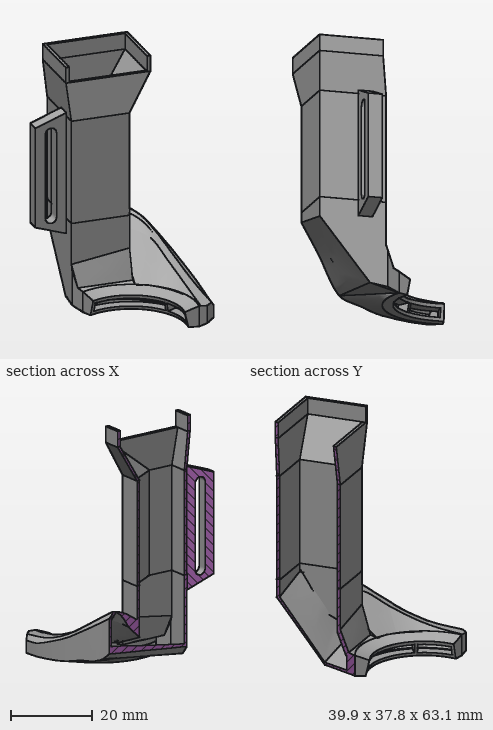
import cadquery as cq
import math

WALL = 0.9

ELBOW_TOP_Z = 22.2
TUBE_TOP_Z = 49.2
TAPER_TOP_Z = 59.0
TOTAL_HEIGHT = 63.1

COLLAR_RECT = (0.0, -1.0, 16.3, 21.0)
TUBE_RECT = (0.4, 0.0, 17.35, 15.15)

BAFFLE_X = 12.7
BAFFLE_Y = 7.65

BRACKET_X = 10.2
BRACKET_WIDTH = 3.6
BRACKET_REACH = 8.1
BRACKET_ROOT_Z = (18.25, 50.1)
BRACKET_TIP_Z = (20.9, 47.15)
SLOT_Y = -4.0
SLOT_WIDTH = 2.85
SLOT_Z = (21.45, 46.55)

NOZZLE_X = 36.65
NOZZLE_Y = 8.3
NOZZLE_INNER_R = 13.3
NOZZLE_BOTTOM_R = 14.25
NOZZLE_OUTER_R = 16.9
NOZZLE_START = 203.5
NOZZLE_END = 80.0
NOZZLE_INNER_HEIGHT = 4.1
NOZZLE_OUTER_HEIGHT = 5.4
OUTLET_TOP_Z = 3.15
VANE_ANGLE = 121.0
VANE_SPAN = 3.0

FLOOR_FRONT_Z = 17.3
FLOOR_BACK_Z = 19.75
FLOOR_RISE = 0.4
HEEL_X = 13.2
HEEL_FRONT_Z = 1.5
TOE_X = 17.8
TOE_Z = 0.8
TOE_TOP_Z = 10.0
FRONT_CORNER_Z = 11.4
BACK_CORNER_Z = 13.55
STEP_X = 19.55
STEP_Z = 5.9
TIP_R = 18.9
TIP_BOTTOM_Z = 0.75

FLANK_TOP = [
    (7.95, 21.4, 17.85), (13.0, 24.4, 14.3), (18.85, 26.9, 10.6),
    (23.15, 28.3, 8.2), (27.95, 29.15, 6.3), (33.45, 29.65, 4.55), (37.4, 29.6, 4.15),
]
FLANK_BOTTOM_Z = [11.35, 4.8, 3.4, 2.35, 1.65, 1.15, 0.95]
FLANK_START_Z = 20.8
HEEL_INDEX = 1
RIDGE = [(9.7, 21.4, 18.05), (17.85, 24.8, 12.7), (23.15, 26.6, 9.2), (31.7, 28.3, 6.1)]
RIDGE_END_Z = 5.4
RIDGE_END_SHARE = 0.35
RIDGE_START_X = 1.9
CREST = [(15.15, 21.4, 14.5), (20.95, 23.6, 10.7), (26.8, 24.9, 7.9), (33.2, 25.5, 6.1)]
CREST_START_X = 8.2
CREST_START_Z = 16.4
CREST_DROP = 7
CREST_END_R = 17.3
CREST_MID_SHARE = 0.26


def inset(rect, wall):
    """Shrink a rectangle by the same wall on all sides."""
    x0, y0, x1, y1 = rect
    return x0 + wall, y0 + wall, x1 - wall, y1 - wall


def box(rect, z0, z1):
    x0, y0, x1, y1 = rect
    return cq.Workplane("XY").box(x1 - x0, y1 - y0, z1 - z0, centered=False).translate((x0, y0, z0))


def polar(radius, degrees, z):
    """Point on a circle about the nozzle axis."""
    angle = math.radians(degrees)
    return NOZZLE_X + radius * math.cos(angle), NOZZLE_Y + radius * math.sin(angle), z


def make_collar():
    """Three-sided rim, open towards +X."""
    x0, y0, x1, y1 = inset(COLLAR_RECT, WALL)
    opening = (x0, y0, COLLAR_RECT[2], y1)
    return box(COLLAR_RECT, TAPER_TOP_Z, TOTAL_HEIGHT).cut(box(opening, TAPER_TOP_Z, TOTAL_HEIGHT))


def taper_block(wall):
    """Block between the tube and collar outlines, both inset by the wall."""
    def wire(rect, z):
        x0, y0, x1, y1 = inset(rect, wall)
        corners = [(x0, y0, z), (x1, y0, z), (x1, y1, z), (x0, y1, z)]
        return cq.Wire.makePolygon([cq.Vector(*p) for p in corners], close=True)

    ends = [wire(TUBE_RECT, TUBE_TOP_Z), wire(COLLAR_RECT, TAPER_TOP_Z)]
    return cq.Workplane(cq.Solid.makeLoft(ends, True))


def baffle_corners():
    """Plan triangle that fills the back right corner of the bore."""
    x1, y1 = inset(TUBE_RECT, WALL)[2:]
    return [(BAFFLE_X, y1), (x1, BAFFLE_Y), (x1, y1)]


def make_taper():
    """Funnel whose back right corner is filled by a pyramid that narrows to the rim."""
    base = [(x, y, TUBE_TOP_Z) for x, y in baffle_corners()]
    apex = (*inset(COLLAR_RECT, WALL)[2:], TAPER_TOP_Z)
    sides = [flat(base[i - 1], base[i], apex) for i in range(len(base))]
    pyramid = cq.Solid.makeSolid(cq.Shell.makeShell([flat(*base)] + sides)).fix()
    return taper_block(0).cut(taper_block(WALL).cut(cq.Workplane(pyramid)))


def make_tube():
    bore = box(inset(TUBE_RECT, WALL), ELBOW_TOP_Z, TUBE_TOP_Z)
    height = TUBE_TOP_Z - ELBOW_TOP_Z
    baffle = cq.Workplane("XY", origin=(0, 0, ELBOW_TOP_Z)).polyline(baffle_corners()).close().extrude(height)
    return box(TUBE_RECT, ELBOW_TOP_Z, TUBE_TOP_Z).cut(bore.cut(baffle))


def make_bracket():
    """Plate on the front of the duct with sloped ends and a long slot."""
    outline = [
        (0, BRACKET_ROOT_Z[0]), (-BRACKET_REACH, BRACKET_TIP_Z[0]),
        (-BRACKET_REACH, BRACKET_TIP_Z[1]), (0, BRACKET_ROOT_Z[1]),
    ]
    plate = cq.Workplane("YZ", origin=(BRACKET_X, 0, 0)).polyline(outline).close().extrude(BRACKET_WIDTH)
    slot = (
        cq.Workplane("YZ", origin=(BRACKET_X, 0, 0))
        .center(SLOT_Y, sum(SLOT_Z) / 2)
        .slot2D(SLOT_Z[1] - SLOT_Z[0], SLOT_WIDTH, 90)
        .extrude(BRACKET_WIDTH)
    )
    return plate.cut(slot)


def turned(profile, start, end):
    """Turn an (r, z) profile about the nozzle axis between two angles."""
    ring = cq.Workplane("XZ").polyline(profile).close().revolve(start - end, (0, 0), (0, -1))
    center = ring.val().Center()
    swept_middle = math.degrees(math.atan2(center.y, center.x))
    placed = ring.rotate((0, 0, 0), (0, 0, 1), (start + end) / 2 - swept_middle)
    return placed.translate((NOZZLE_X, NOZZLE_Y, 0))


def make_nozzle():
    """Ring segment with an outlet slot along its inside, divided by one radial vane."""
    profile = [
        (NOZZLE_BOTTOM_R, 0), (NOZZLE_OUTER_R, 0),
        (NOZZLE_OUTER_R, NOZZLE_OUTER_HEIGHT), (NOZZLE_INNER_R, NOZZLE_INNER_HEIGHT),
    ]
    channel = [
        (NOZZLE_INNER_R, WALL), (NOZZLE_OUTER_R, WALL),
        (NOZZLE_OUTER_R, OUTLET_TOP_Z), (NOZZLE_INNER_R, OUTLET_TOP_Z),
    ]
    margin = math.degrees(WALL / NOZZLE_INNER_R)
    half_vane = VANE_SPAN / 2
    slots = [
        (NOZZLE_START - margin, VANE_ANGLE + half_vane),
        (VANE_ANGLE - half_vane, NOZZLE_END + margin),
    ]
    ring = turned(profile, NOZZLE_START, NOZZLE_END)
    for start, end in slots:
        ring = ring.cut(turned(channel, start, end))
    return ring


def flat(*points):
    wire = cq.Wire.makePolygon([cq.Vector(*p) for p in points], close=True)
    return cq.Face.makeFromWires(wire)


def curve(points, tangents=None):
    return cq.Edge.makeSpline([cq.Vector(*p) for p in points], tangents=tangents)


def stretches(points):
    """Two edges that meet smoothly at the point beside the heel."""
    middle = HEEL_INDEX + 1
    vectors = [cq.Vector(*p) for p in points]
    first = vectors[1] - vectors[0]
    shared = vectors[middle + 1] - vectors[middle - 1]
    last = vectors[-1] - vectors[-2]
    return [
        curve(points[:middle + 1], [first.normalized(), shared.normalized()]),
        curve(points[middle:], [shared.normalized(), last.normalized()]),
    ]


def line(start, end):
    return cq.Edge.makeLine(cq.Vector(*start), cq.Vector(*end))


def arc(radius, start, end, z):
    points = [polar(radius, a, z) for a in (start, (start + end) / 2, end)]
    return cq.Edge.makeThreePointArc(*[cq.Vector(*p) for p in points])


def elbow_block(wall):
    """Solid between the tube and the nozzle, inset by the wall on all closed sides.

    An inset block reaches past the mouth and the nozzle side by the wall, so it cuts both open.
    """
    x0, y0, x1, y1 = inset(TUBE_RECT, wall)
    mouth_z = ELBOW_TOP_Z + wall
    ring_r = NOZZLE_OUTER_R - wall
    margin = math.degrees(wall / NOZZLE_OUTER_R)
    start = NOZZLE_START - margin
    end = NOZZLE_END + margin
    ring_top = NOZZLE_OUTER_HEIGHT - wall
    side = 180 - math.degrees(math.asin((y1 - NOZZLE_Y) / ring_r))

    def inward(point, dz):
        """Move a flank point towards the nozzle axis by the wall and shift its height."""
        x, y, z = point
        reach = math.hypot(x - NOZZLE_X, y - NOZZLE_Y)
        share = 1 - wall / reach
        return NOZZLE_X + (x - NOZZLE_X) * share, NOZZLE_Y + (y - NOZZLE_Y) * share, z + dz

    mouth = [(x0, y0, mouth_z), (x1, y0, mouth_z), (x1, y1, mouth_z), (x0, y1, mouth_z)]
    floor_rise = FLOOR_RISE * wall
    floor_front = (x0, y0, FLOOR_FRONT_Z + floor_rise)
    floor_back = (x0, y1, FLOOR_BACK_Z + floor_rise)
    heel_front = (HEEL_X, y0, HEEL_FRONT_Z + wall)
    toe_x = TOE_X - wall
    toe = (toe_x, y0, TOE_Z + wall)
    toe_top = (toe_x, y0, TOE_TOP_Z - wall)
    front_corner = (x1, y0, FRONT_CORNER_Z - wall)
    back_corner = (x1, y1, BACK_CORNER_Z - wall)

    start_bottom = polar(ring_r, start, wall)
    start_top = polar(ring_r, start, ring_top)
    end_bottom = polar(ring_r, end, wall)
    end_top = polar(ring_r, end, ring_top)
    side_top = polar(ring_r, side, ring_top)
    tip_bottom = polar(TIP_R - wall, end, TIP_BOTTOM_Z + wall)
    tip_top = polar(TIP_R - wall, end, ring_top)
    step_x = STEP_X - wall
    step_share = (step_x - toe_x) / (start_top[0] - toe_x)
    step_front = (step_x, y0 + step_share * (start_top[1] - y0), STEP_Z - wall)
    step_back = (step_x, y1, STEP_Z - wall)

    flank_top = [(x0, y1, FLANK_START_Z - floor_rise)] + [inward(p, -wall) for p in FLANK_TOP]
    flank_low = [inward((x, y, z), wall) for (x, y, _), z in zip(FLANK_TOP, FLANK_BOTTOM_Z)]
    heel_back = flank_low[HEEL_INDEX]
    bevel = [a + RIDGE_END_SHARE * (b - a) for a, b in zip(flank_top[-1], tip_top)]
    ridge_end = (bevel[0], bevel[1], RIDGE_END_Z - wall)
    ridge_start = (RIDGE_START_X, y1, FLANK_START_Z - wall)
    ridge = [ridge_start] + [inward(p, -wall) for p in RIDGE] + [ridge_end]
    crest_start = (CREST_START_X, y1, CREST_START_Z - CREST_DROP * wall)
    crest_end = polar(CREST_END_R, end, ring_top)
    crest = [crest_start] + [(x, y, z - wall) for x, y, z in CREST] + [crest_end]

    heel_edge, low_edge = stretches([floor_back] + flank_low)
    flank_edges = stretches(flank_top)
    ridge_edges = stretches(ridge)
    crest_edges = stretches(crest)
    crest_mid_angle = side + CREST_MID_SHARE * (end - side)
    ring_edges = [arc(ring_r, side, crest_mid_angle, ring_top), arc(ring_r, crest_mid_angle, end, ring_top)]

    ruled = [
        (line(floor_front, heel_front), heel_edge),
        (low_edge, arc(ring_r, start, end, wall)),
        (line(front_corner, back_corner), line(step_front, step_back)),
        (line(step_front, step_back), arc(ring_r, start, side, ring_top)),
    ]
    bands = [[heel_edge, low_edge], flank_edges, ridge_edges, crest_edges, ring_edges]
    for band, next_band in zip(bands, bands[1:]):
        ruled += zip(band, next_band)
    faces = [cq.Face.makeRuledSurface(a, b) for a, b in ruled]

    faces += [
        flat(*mouth),
        flat(mouth[0], mouth[3], floor_back, floor_front),
        flat(mouth[0], mouth[1], front_corner, toe_top, toe, heel_front, floor_front),
        flat(mouth[1], mouth[2], back_corner, front_corner),
        flat(mouth[3], mouth[2], back_corner, step_back, side_top,
             crest_start, ridge_start, flank_top[0], floor_back),
        flat(front_corner, toe_top, step_front),
        flat(toe, toe_top, step_front, start_top, start_bottom),
        flat(heel_front, toe, start_bottom),
        flat(heel_front, start_bottom, heel_back),
    ]
    stops = [start, side, crest_mid_angle, end]
    for first, last in zip(stops, stops[1:]):
        lower_arc = arc(ring_r, first, last, wall)
        upper_arc = arc(ring_r, first, last, ring_top)
        faces.append(cq.Face.makeRuledSurface(lower_arc, upper_arc))
    faces += [
        flat(end_bottom, end_top, crest_end, tip_top, tip_bottom),
        flat(crest_end, tip_top, ridge_end),
        flat(tip_bottom, end_bottom, flank_low[-1]),
        flat(tip_bottom, tip_top, ridge_end),
        flat(tip_bottom, ridge_end, flank_top[-1]),
        flat(tip_bottom, flank_top[-1], flank_low[-1]),
    ]
    sewn = cq.Shell.makeShell(faces)
    solid = cq.Solid.makeSolid(sewn).fix()
    return cq.Workplane(solid)


def make_elbow():
    """Hollow duct that spreads from the tube to the outside of the nozzle."""
    return elbow_block(0).cut(elbow_block(WALL))


collar = make_collar()
taper = make_taper()
tube = make_tube()
bracket = make_bracket()
elbow = make_elbow()
nozzle = make_nozzle()

bodies = [collar, taper, tube, bracket, elbow, nozzle]
result = cq.Compound.makeCompound([body.val() for body in bodies])